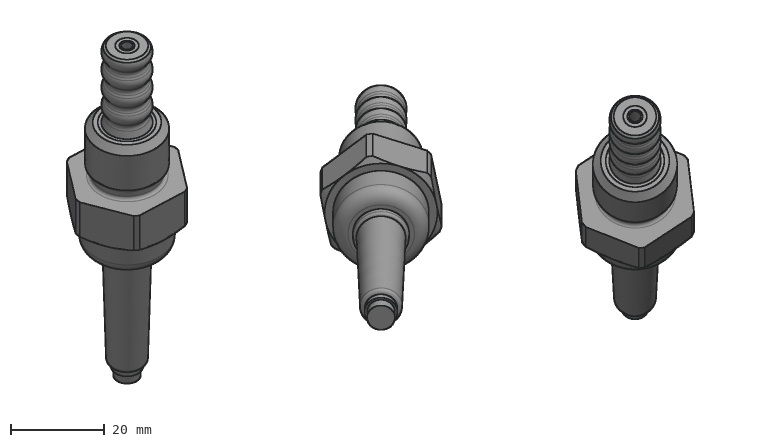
import cadquery as cq
import math

TOTAL_HEIGHT = 93.1
SLEEVE_BOTTOM = 2.5
BOOT_BOTTOM = 4.0
COLLAR_BOTTOM = 35.0
FITTING_BOTTOM = 36.9
HEX_BOTTOM = 46.0
HEX_TOP = 56.6
THREAD_BOTTOM = 60.0
THREAD_TOP = 71.4

BARREL_RADIUS = 20.5 / 2
BARREL_FILLET = 3.2
HEX_SIDES = 6
HEX_ACROSS_FLATS = 24.0
HEX_TRIM_RADIUS = 27.0 / 2
HEX_CHAMFER_ANGLE = 30.0
NECK_RADIUS = 15.8 / 2
NECK_FILLET = 0.79
THREAD_RADIUS = 18.0 / 2
THREAD_TOP_CHAMFER = 1.7
UNDERCUT_ANGLE = 45.0
UNDERCUT_ROUNDING = 0.5

FLANGE_RADIUS = 12.5 / 2
FLANGE_DEPTH = 2.8
BEAD_COUNT = 4
BEAD_PITCH = 5.0
CREST_RADIUS = 11.0 / 2
ROOT_RADIUS = 9.0 / 2
BEAD_ROUNDING = 2.2
ROOT_ROUNDING = 1.3
TOP_BEAD_TO_END = 1.7

LINER_RADIUS = 5.0 / 2
CORE_RADIUS = 3.3 / 2
CORE_HOLE_RADIUS = 2.5 / 2
CORE_HOLE_DEPTH = 9.3
DRILL_POINT_ANGLE = 118.0

COLLAR_RADIUS = 12.0 / 2
BOOT_TOP_RADIUS = 10.5 / 2
BOOT_END_RADIUS = 9.0 / 2
SLEEVE_RADIUS = 7.0 / 2
CABLE_RADIUS = 6.0 / 2

BARB_BOTTOM = THREAD_TOP - FLANGE_DEPTH


def cylinder(radius, bottom, top):
    """Solid cylinder about the Z axis."""
    return cq.Workplane("XY").workplane(offset=bottom).circle(radius).extrude(top - bottom)


def ring(outer_radius, inner_radius, bottom, top):
    """Plain tube about the Z axis."""
    return cylinder(outer_radius, bottom, top).cut(cylinder(inner_radius, bottom, top))


def revolve_about_z(profile):
    """Spin a closed profile, drawn with radius and height, about the Z axis."""
    return profile.close().revolve(360, (0, 0, 0), (0, 1, 0))


def make_hexagon():
    """Hexagon with corners toward +/-Y, trimmed round and chamfered underneath."""
    corner_diameter = HEX_ACROSS_FLATS / math.cos(math.pi / HEX_SIDES)
    prism = (
        cq.Workplane("XY")
        .workplane(offset=HEX_BOTTOM)
        .transformed(rotate=(0, 0, 90))
        .polygon(HEX_SIDES, corner_diameter)
        .extrude(HEX_TOP - HEX_BOTTOM)
    )
    chamfer_start = HEX_ACROSS_FLATS / 2
    chamfer_rise = (HEX_TRIM_RADIUS - chamfer_start) * math.tan(math.radians(HEX_CHAMFER_ANGLE))
    trim = revolve_about_z(
        cq.Workplane("XZ")
        .moveTo(0, HEX_BOTTOM)
        .lineTo(chamfer_start, HEX_BOTTOM)
        .lineTo(HEX_TRIM_RADIUS, HEX_BOTTOM + chamfer_rise)
        .lineTo(HEX_TRIM_RADIUS, HEX_TOP)
        .lineTo(0, HEX_TOP)
    )
    return prism.intersect(trim)


def make_shank():
    """Thread cylinder that narrows in a cone to a neck flaring into the hexagon."""
    slope = math.radians(UNDERCUT_ANGLE)
    cone_foot = THREAD_BOTTOM - (THREAD_RADIUS - NECK_RADIUS) / math.tan(slope)
    tangent_length = UNDERCUT_ROUNDING * math.tan(slope / 2)
    arc_end = (
        NECK_RADIUS + tangent_length * math.sin(slope),
        cone_foot + tangent_length * math.cos(slope),
    )
    return revolve_about_z(
        cq.Workplane("XZ")
        .moveTo(0, HEX_TOP)
        .lineTo(NECK_RADIUS + NECK_FILLET, HEX_TOP)
        .radiusArc((NECK_RADIUS, HEX_TOP + NECK_FILLET), NECK_FILLET)
        .lineTo(NECK_RADIUS, cone_foot - tangent_length)
        .radiusArc(arc_end, UNDERCUT_ROUNDING)
        .lineTo(THREAD_RADIUS, THREAD_BOTTOM)
        .lineTo(THREAD_RADIUS, THREAD_TOP - THREAD_TOP_CHAMFER)
        .lineTo(THREAD_RADIUS - THREAD_TOP_CHAMFER, THREAD_TOP)
        .lineTo(0, THREAD_TOP)
    )


def make_fitting():
    """Barrel, hexagon and shank in one piece, with a seat for the barb flange."""
    barrel = cylinder(BARREL_RADIUS, FITTING_BOTTOM, HEX_BOTTOM)
    barrel = barrel.faces("<Z").edges().fillet(BARREL_FILLET)
    flange_seat = cylinder(FLANGE_RADIUS, BARB_BOTTOM, THREAD_TOP)
    return barrel.union(make_hexagon()).union(make_shank()).cut(flange_seat)


def make_barb():
    """Hose barb whose beads and roots are arcs joined by straight common tangents."""
    bead_center_radius = CREST_RADIUS - BEAD_ROUNDING
    root_center_radius = ROOT_RADIUS + ROOT_ROUNDING
    radial_gap = root_center_radius - bead_center_radius
    half_pitch = BEAD_PITCH / 2
    center_distance = math.hypot(radial_gap, half_pitch)
    tangent_angle = math.atan2(half_pitch, radial_gap) - math.acos(
        (BEAD_ROUNDING + ROOT_ROUNDING) / center_distance
    )
    bead_end_radius = bead_center_radius + BEAD_ROUNDING * math.cos(tangent_angle)
    bead_half_height = BEAD_ROUNDING * math.sin(tangent_angle)
    root_end_radius = root_center_radius - ROOT_ROUNDING * math.cos(tangent_angle)
    root_half_height = ROOT_ROUNDING * math.sin(tangent_angle)

    top_bead = TOTAL_HEIGHT - TOP_BEAD_TO_END
    lowest_bead = top_bead - (BEAD_COUNT - 1) * BEAD_PITCH

    profile = (
        cq.Workplane("XZ")
        .moveTo(0, BARB_BOTTOM)
        .lineTo(FLANGE_RADIUS, BARB_BOTTOM)
        .lineTo(FLANGE_RADIUS, THREAD_TOP)
        .lineTo(CREST_RADIUS, THREAD_TOP)
    )
    for index in range(BEAD_COUNT):
        bead = lowest_bead + index * BEAD_PITCH
        root = bead - half_pitch
        profile = (
            profile.lineTo(root_end_radius, root - root_half_height)
            .threePointArc((ROOT_RADIUS, root), (root_end_radius, root + root_half_height))
            .lineTo(bead_end_radius, bead - bead_half_height)
            .threePointArc((CREST_RADIUS, bead), (bead_end_radius, bead + bead_half_height))
        )
    profile = profile.lineTo(ROOT_RADIUS, TOTAL_HEIGHT).lineTo(0, TOTAL_HEIGHT)
    return revolve_about_z(profile).cut(cylinder(LINER_RADIUS, BARB_BOTTOM, TOTAL_HEIGHT))


def make_liner():
    """Tube lining the bore of the barb."""
    return ring(LINER_RADIUS, CORE_RADIUS, BARB_BOTTOM, TOTAL_HEIGHT)


def make_core():
    """Rod inside the liner with a blind hole that ends in a drill point."""
    hole_floor = TOTAL_HEIGHT - CORE_HOLE_DEPTH
    point_depth = CORE_HOLE_RADIUS / math.tan(math.radians(DRILL_POINT_ANGLE / 2))
    hole = revolve_about_z(
        cq.Workplane("XZ")
        .moveTo(0, hole_floor - point_depth)
        .lineTo(CORE_HOLE_RADIUS, hole_floor)
        .lineTo(CORE_HOLE_RADIUS, TOTAL_HEIGHT)
        .lineTo(0, TOTAL_HEIGHT)
    )
    return cylinder(CORE_RADIUS, BARB_BOTTOM, TOTAL_HEIGHT).cut(hole)


def make_boot_blank():
    """Tapered boot before boring, its lower edge rounded in to the sleeve."""
    rounding = BOOT_END_RADIUS - SLEEVE_RADIUS
    return revolve_about_z(
        cq.Workplane("XZ")
        .moveTo(0, BOOT_BOTTOM)
        .lineTo(SLEEVE_RADIUS, BOOT_BOTTOM)
        .radiusArc((BOOT_END_RADIUS, BOOT_BOTTOM + rounding), -rounding)
        .lineTo(BOOT_TOP_RADIUS, COLLAR_BOTTOM)
        .lineTo(BOOT_TOP_RADIUS, FITTING_BOTTOM)
        .lineTo(0, FITTING_BOTTOM)
    )


def make_collar():
    """Ring under the fitting, its lower edge rounded in to the boot."""
    rounding = COLLAR_RADIUS - BOOT_TOP_RADIUS
    return revolve_about_z(
        cq.Workplane("XZ")
        .moveTo(BOOT_TOP_RADIUS, COLLAR_BOTTOM)
        .radiusArc((COLLAR_RADIUS, COLLAR_BOTTOM + rounding), -rounding)
        .lineTo(COLLAR_RADIUS, FITTING_BOTTOM)
        .lineTo(BOOT_TOP_RADIUS, FITTING_BOTTOM)
    )


def make_boot():
    """Tapered boot bored for the sleeve."""
    return make_boot_blank().cut(cylinder(SLEEVE_RADIUS, BOOT_BOTTOM, FITTING_BOTTOM))


fitting = make_fitting()
barb = make_barb()
liner = make_liner()
core = make_core()
collar = make_collar()
boot = make_boot()
sleeve = ring(SLEEVE_RADIUS, CABLE_RADIUS, SLEEVE_BOTTOM, FITTING_BOTTOM)
cable = cylinder(CABLE_RADIUS, 0, FITTING_BOTTOM)

result = cq.Compound.makeCompound([
    fitting.val(),
    barb.val(),
    liner.val(),
    core.val(),
    collar.val(),
    boot.val(),
    sleeve.val(),
    cable.val(),
])